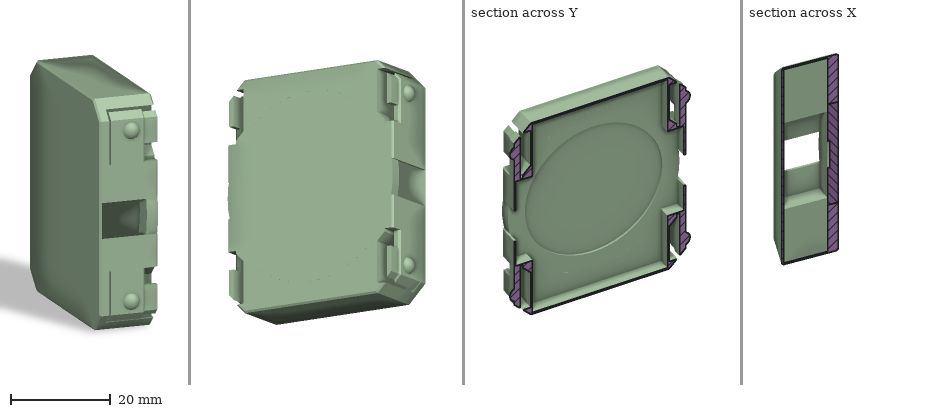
import cadquery as cq
import math

LENGTH = 48.0
DEPTH = 12.5
NUB_SPAN = 41.5
WIDTH = 39.2
CORNER = 3.85
EDGE = 0.4

HALF_WIDTH = WIDTH / 2
HALF_LENGTH = LENGTH / 2
FRONT = -DEPTH / 2
BACK = DEPTH / 2

FRONT_PLATE = 0.5
WALL = 0.5
WINDOW_HEIGHT = 7.55
WINDOW_CENTRE_Z = -0.5

WHEEL_RADIUS = HALF_WIDTH
WHEEL_THICKNESS = 2.4
WHEEL_RECESS_RADIUS = 15.7
WHEEL_RECESS_DEPTH = 0.5

ARM_THICKNESS = 1.45
ARM_ROOT_Z = 11.0
ARM_FRONT = -3.85
ARM_BACK = 3.55
ARM_BEVEL = 0.5
SIDE_SLOT = 0.4
CHANNEL = 0.55
HOOK_ROOT_Z = 14.75
ROOM_TOP_Z = 22.1

RELIEF_START_Z = 11.6
RELIEF_DEPTH = 1.8

NUB_DIAMETER = 3.7
NUB_Y = 0.55
NUB_Z = 17.7

SIDE = -HALF_WIDTH
CAVITY_FRONT = FRONT + FRONT_PLATE
WHEEL_FRONT = BACK - WHEEL_THICKNESS
SLOT_FRONT = ARM_FRONT - SIDE_SLOT
ARM_INNER = SIDE + ARM_THICKNESS
CHANNEL_WALL = ARM_INNER + CHANNEL
RELIEF_WALL = CHANNEL_WALL + RELIEF_DEPTH


def block(x_range, y_range, z_range):
    """Box between two X, two Y and two Z places."""
    size = [high - low for low, high in (x_range, y_range, z_range)]
    corner = (x_range[0], y_range[0], z_range[0])
    return cq.Workplane("XY").box(*size, centered=False).translate(corner)


def octagon_block(y_front, y_back, inset=0.0):
    """Octagonal prism along Y, with its outline moved inwards by inset."""
    leg = CORNER - inset * (2 - math.sqrt(2))
    return (
        cq.Workplane("XZ", origin=(0, y_back, 0))
        .rect(WIDTH - 2 * inset, LENGTH - 2 * inset)
        .extrude(y_back - y_front)
        .edges("|Y")
        .chamfer(leg)
    )


def disc(y_front, y_back, radius):
    """Round disc along Y."""
    return cq.Workplane("XZ", origin=(0, y_back, 0)).circle(radius).extrude(y_back - y_front)


def housing_shell():
    """Octagonal case with bevelled rims, hollow inside, with a round seat and two windows."""
    shell = octagon_block(FRONT, BACK).faces("<Y or >Y").chamfer(EDGE)

    cavity_y = (CAVITY_FRONT, WHEEL_FRONT)
    wide_x = HALF_WIDTH - WALL
    wide_z = ARM_ROOT_Z - WALL
    narrow_x = -RELIEF_WALL - WALL
    narrow_z = HALF_LENGTH - WALL
    shell = shell.cut(block((-wide_x, wide_x), cavity_y, (-wide_z, wide_z)))
    shell = shell.cut(block((-narrow_x, narrow_x), cavity_y, (-narrow_z, narrow_z)))
    shell = shell.cut(disc(WHEEL_FRONT, BACK, WHEEL_RADIUS))

    window_low = WINDOW_CENTRE_Z - WINDOW_HEIGHT / 2
    window_z = (window_low, window_low + WINDOW_HEIGHT)
    return shell.cut(block((-HALF_WIDTH, HALF_WIDTH), (CAVITY_FRONT, BACK), window_z))


def arm_room():
    """Space around one arm, with the relief that the arm can bend into."""
    room = block((SIDE, CHANNEL_WALL), (SLOT_FRONT, BACK), (ARM_ROOT_Z, ROOM_TOP_Z))
    relief = (
        cq.Workplane("XZ", origin=(0, BACK, 0))
        .moveTo(CHANNEL_WALL, RELIEF_START_Z)
        .lineTo(RELIEF_WALL, RELIEF_START_Z + RELIEF_DEPTH)
        .lineTo(RELIEF_WALL, ROOM_TOP_Z)
        .lineTo(CHANNEL_WALL, ROOM_TOP_Z)
        .close()
        .extrude(BACK - SLOT_FRONT)
    )
    return room.union(relief)


def spring_arm():
    """Arm that follows the octagon, with a bevelled back edge, a thinner hook and a nub."""
    arm = octagon_block(FRONT, ARM_BACK).faces(">Y").chamfer(ARM_BEVEL, EDGE)
    hook_room = block((SIDE, 0), (FRONT, BACK), (HOOK_ROOT_Z, HALF_LENGTH))
    hook = octagon_block(FRONT, BACK, EDGE).intersect(hook_room)
    arm_span = block((SIDE, ARM_INNER), (ARM_FRONT, BACK), (ARM_ROOT_Z, HALF_LENGTH))
    return arm.union(hook).intersect(arm_span).union(nub())


def nub():
    """Part of a ball that stands out of the arm, with its flat side inside the arm."""
    radius = NUB_DIAMETER / 2
    tip = -NUB_SPAN / 2
    ball = cq.Workplane("XY").sphere(radius).translate((tip + radius, NUB_Y, NUB_Z))
    outer_part = block(
        (tip, SIDE + ARM_THICKNESS / 2),
        (NUB_Y - radius, NUB_Y + radius),
        (NUB_Z - radius, NUB_Z + radius),
    )
    return ball.intersect(outer_part)


def four_corners(shape):
    """The shape and its mirror copies on the other three corners."""
    left = [shape, shape.mirror("XY")]
    return left + [copy.mirror("YZ") for copy in left]


def make_housing():
    housing = housing_shell()
    for room in four_corners(arm_room()):
        housing = housing.cut(room)
    for arm in four_corners(spring_arm()):
        housing = housing.union(arm)
    return housing


def make_wheel():
    """Thumb wheel at the back, reached through both windows, with a round recess inside."""
    recess = disc(WHEEL_FRONT, WHEEL_FRONT + WHEEL_RECESS_DEPTH, WHEEL_RECESS_RADIUS)
    return disc(WHEEL_FRONT, BACK, WHEEL_RADIUS).cut(recess)


housing = make_housing()
wheel = make_wheel()

result = cq.Compound.makeCompound([housing.val(), wheel.val()])